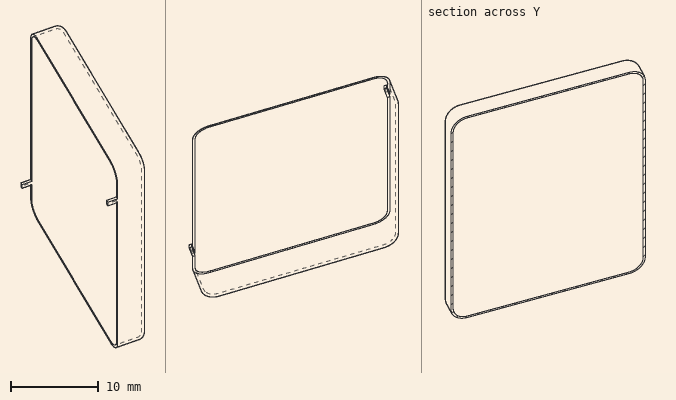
import cadquery as cq

width = 23.8
height = 32.3
depth = 4.9

tray_depth = 3.68
wall = 0.32
corner_radius = 2.0
outer_edge_radius = 0.8
inner_edge_radius = 0.55

pin_length = depth - tray_depth
pin_height = 0.65
pin_offset = 11.18


def rounded_block(wall_inset, floor_y, edge_radius):
    """Block from the rim plane (Y = 0) to floor_y, with rounded corners and floor edge."""
    return (
        cq.Workplane("XZ")
        .rect(width - 2 * wall_inset, height - 2 * wall_inset)
        .extrude(-floor_y)
        .edges("|Y")
        .fillet(corner_radius - wall_inset)
        .faces(">Y")
        .edges()
        .fillet(edge_radius)
    )


def pin(side):
    """Pin flush with the outer face of one long wall; side is +1 for +X, -1 for -X."""
    return (
        cq.Workplane("XY")
        .box(wall, pin_length + wall, pin_height)
        .translate((side * (width - wall) / 2, (wall - pin_length) / 2, side * pin_offset))
    )


outer = rounded_block(0, tray_depth, outer_edge_radius)
cavity = rounded_block(wall, tray_depth - wall, inner_edge_radius)
result = outer.cut(cavity)

for side in (1, -1):
    result = result.union(pin(side))